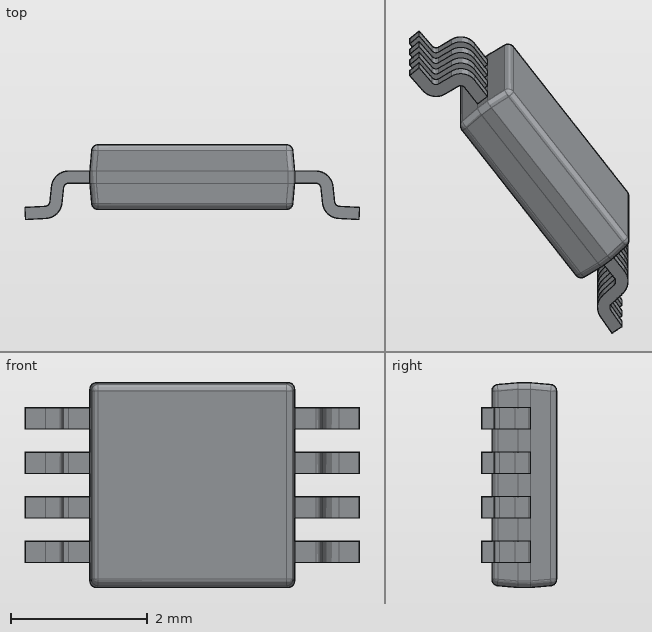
import cadquery as cq
import math

OVERALL_SPAN = 4.9
BODY_SIZE = 3.0
BODY_THICKNESS = 0.95
STANDOFF = 0.145
BODY_DRAFT = 5.0
BODY_FILLET = 0.1

LEADS_PER_SIDE = 4
LEAD_PITCH = 0.65
LEAD_WIDTH = 0.315
LEAD_THICKNESS = 0.18
BEND_INNER_RADIUS = 0.075
SHOULDER_REACH = 1.955
LEG_LEAN = 6.0
FOOT_TILT = 3.0

mid_y = STANDOFF + BODY_THICKNESS / 2
bend_radius = BEND_INNER_RADIUS + LEAD_THICKNESS / 2


def make_body():
    """Rounded square block: a straight band as thick as the leads, with a drafted half on each side."""
    half_depth = (BODY_THICKNESS - LEAD_THICKNESS) / 2
    front_half = (
        cq.Workplane("XZ", origin=(0, mid_y - LEAD_THICKNESS / 2, 0))
        .rect(BODY_SIZE, BODY_SIZE)
        .extrude(half_depth, taper=BODY_DRAFT)
        .edges("not >Y")
        .fillet(BODY_FILLET)
    )
    rim = front_half.faces(">Y").wires().toPending().workplane()
    band = rim.extrude(LEAD_THICKNESS, combine=False)
    back_half = front_half.mirror("XZ", (0, mid_y, 0))
    return front_half.union(band).union(back_half)


def toward(start, end, distance):
    """Point at a distance from start on the line to end."""
    length = math.dist(start, end)
    return tuple(a + (b - a) * distance / length for a, b in zip(start, end))


def add_bend(path, before, corner, after, turn):
    """Extend the path straight from before, then round the corner toward after through turn radians."""
    setback = bend_radius * math.tan(turn / 2)
    bulge = bend_radius / math.cos(turn / 2) - bend_radius
    bend_start = toward(corner, before, setback)
    bend_end = toward(corner, after, setback)
    chord_middle = tuple((a + b) / 2 for a, b in zip(bend_start, bend_end))
    return path.lineTo(*bend_start).threePointArc(toward(corner, chord_middle, bulge), bend_end)


def make_lead():
    """Right-hand lead centred on Z = 0, butted against the body band."""
    lean = math.radians(LEG_LEAN)
    tilt = math.radians(FOOT_TILT)
    root = (BODY_SIZE / 2, mid_y)
    shoulder = (SHOULDER_REACH, mid_y)
    toe = (
        OVERALL_SPAN / 2 - LEAD_THICKNESS / 2 * math.sin(tilt),
        LEAD_THICKNESS / 2 * math.cos(tilt),
    )
    foot_y_below_shoulder = toe[1] + (toe[0] - shoulder[0]) * math.tan(tilt)
    leg_drop = (mid_y - foot_y_below_shoulder) / (1 - math.tan(lean) * math.tan(tilt))
    ankle = (shoulder[0] + leg_drop * math.tan(lean), mid_y - leg_drop)

    shoulder_turn = math.pi / 2 - lean
    ankle_turn = shoulder_turn - tilt
    path = cq.Workplane("XY").moveTo(*root)
    path = add_bend(path, root, shoulder, ankle, shoulder_turn)
    path = add_bend(path, shoulder, ankle, toe, ankle_turn)
    path = path.lineTo(*toe)
    section = cq.Workplane("YZ", origin=(*root, 0)).rect(LEAD_THICKNESS, LEAD_WIDTH)
    return section.sweep(path)


body = make_body()

right_lead = make_lead()
left_lead = right_lead.mirror("YZ")
leads = []
for index in range(LEADS_PER_SIDE):
    lead_z = (index - (LEADS_PER_SIDE - 1) / 2) * LEAD_PITCH
    for lead in (right_lead, left_lead):
        leads.append(lead.translate((0, 0, lead_z)).val())

result = cq.Compound.makeCompound([body.val(), *leads])